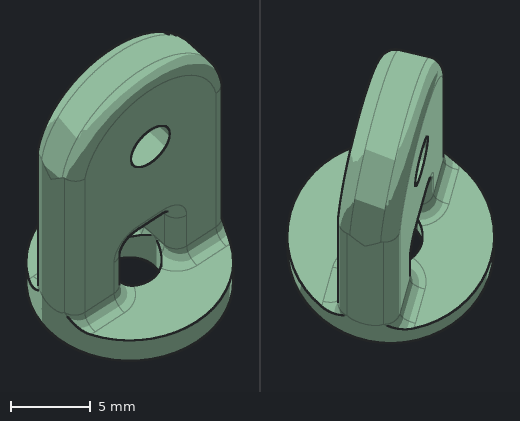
import cadquery as cq
import math

total_height = 21.5
base_diameter = 13.0
base_thickness = 2.0
plate_thickness = 4.0
eye_diameter = 3.2
window_width = 4.0
window_top = 7.0
drain_diameter = window_width

base_radius = base_diameter / 2
arch_center = total_height - base_radius
rounding = plate_thickness / 4
edge_tolerance = 0.02


def make_arch():
    """Round-topped slab with its two broad faces rounded along the outline."""
    slab = (
        cq.Workplane("YZ")
        .moveTo(-base_radius, 0)
        .lineTo(base_radius, 0)
        .lineTo(base_radius, arch_center)
        .threePointArc((0, total_height), (-base_radius, arch_center))
        .close()
        .extrude(plate_thickness / 2, both=True)
    )
    return slab.faces("<X or >X").edges("not <Z").fillet(rounding)


def make_column():
    """Slice of the base cylinder, as thick as the plate, with rounded vertical edges."""
    slice_box = cq.Workplane("XY").box(
        plate_thickness, base_diameter, total_height, centered=(True, True, False)
    )
    cylinder = cq.Workplane("XY").circle(base_radius).extrude(total_height)
    return cylinder.intersect(slice_box).edges("|Z and (<X or >X)").fillet(rounding)


def make_window():
    """Opening at the foot of the plate, with rounded top corners."""
    return (
        cq.Workplane("XY")
        .box(plate_thickness, window_width, window_top, centered=(True, True, False))
        .edges("|X and >Z")
        .fillet(rounding)
    )


def is_window_edge(edge):
    """True for the window's side and top edges on the broad faces."""
    box = edge.BoundingBox()
    in_width = max(-box.ymin, box.ymax) < window_width / 2 + edge_tolerance
    return in_width and edge_tolerance < edge.Center().z < window_top + edge_tolerance


def make_plate():
    """Upright plate: arch trimmed to the column, with the window cut and its edges rounded."""
    plate = make_arch().intersect(make_column()).cut(make_window())
    rims = plate.faces("<X or >X").edges().filter(is_window_edge)
    return plate.newObject(rims.vals()).fillet(rounding)


def make_foot():
    """Base disc and the two leg stumps that rise from it, joined by a concave fillet."""
    slab = cq.Workplane("XY").circle(base_diameter).extrude(base_thickness)
    corner_y = math.sqrt((base_radius - rounding) ** 2 - (plate_thickness / 2 - rounding) ** 2)
    leg_start = window_width / 2
    leg_length = corner_y + rounding - leg_start
    stump_height = base_thickness + 2 * rounding
    legs = (
        cq.Workplane("XY")
        .pushPoints([(0, side * (leg_start + leg_length / 2)) for side in (-1, 1)])
        .rect(plate_thickness, leg_length)
        .extrude(stump_height)
        .edges("|Z")
        .fillet(rounding)
    )
    foot_line = cq.selectors.BoxSelector(
        (-base_radius, -base_radius, base_thickness - edge_tolerance),
        (base_radius, base_radius, base_thickness + edge_tolerance),
        boundingbox=True,
    )
    filleted = slab.union(legs).edges(foot_line).fillet(rounding)
    envelope = cq.Workplane("XY").circle(base_radius).extrude(base_thickness + rounding)
    return filleted.intersect(envelope)


body = make_foot().union(make_plate())

drain = cq.Workplane("XY").circle(drain_diameter / 2).extrude(window_top - rounding)

eye = (
    cq.Workplane("YZ")
    .center(0, arch_center)
    .circle(eye_diameter / 2)
    .extrude(plate_thickness, both=True)
)

result = body.cut(drain).cut(eye)